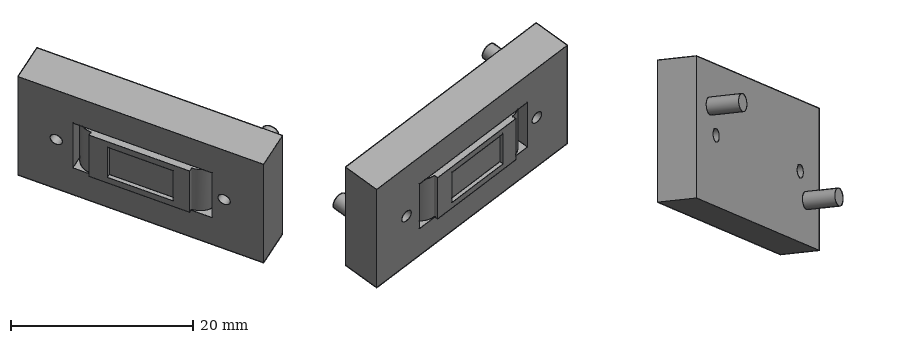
import cadquery as cq
plate_length = 30.0
plate_height = 16.0
plate_depth = 4.8

hole_diameter = 1.5
hole_spacing = 20.5
hole_centre_x = -0.05

pin_diameter = 2.0
pin_length = 4.0
pin_centres = [(-11.85, -3.0), (11.6, 3.0)]

rocker_length = 16.75
rocker_height = 6.7
rocker_centre_x = 0.12
shoulder_radius = 2.25
shoulder_rise = 0.1
key_length = 12.3
key_rise = 0.6
root_fillet_diameter = 0.08

recess_length = 8.05
recess_height = 4.9
recess_depth = 0.48
recess_centre_x = 0.25

pocket_length = 16.98
pocket_height = 7.25
pocket_depth = 3.0
pocket_centre_x = 0.2


def block(length, height, centre_x, y_front, y_back):
    """Box between two Y planes, centred on Z = 0."""
    return cq.Workplane("XY").box(length, y_back - y_front, height).translate(
        (centre_x, (y_front + y_back) / 2, 0)
    )


def rod(diameter, centre_x, centre_z, y_start, length):
    """Cylinder that runs along +Y."""
    start = cq.Vector(centre_x, y_start, centre_z)
    return cq.Workplane(cq.Solid.makeCylinder(diameter / 2, length, start, cq.Vector(0, 1, 0)))


def make_housing():
    """Plate with its front face at Y = 0, a rocker pocket, two holes and rear pins."""
    housing = block(plate_length, plate_height, 0, 0, plate_depth)
    housing = housing.cut(block(pocket_length, pocket_height, pocket_centre_x, 0, pocket_depth))
    for side in (-1, 1):
        hole_x = hole_centre_x + side * hole_spacing / 2
        housing = housing.cut(rod(hole_diameter, hole_x, 0, 0, plate_depth))
    for pin_x, pin_z in pin_centres:
        housing = housing.union(rod(pin_diameter, pin_x, pin_z, plate_depth, pin_length))
    return housing


def make_rocker():
    """Round-shouldered body on the pocket floor, with a raised key and a shallow recess."""
    body = block(rocker_length, rocker_height, rocker_centre_x, -shoulder_rise, pocket_depth)
    body = body.faces("<Y").edges("|Z").fillet(shoulder_radius)
    key = block(key_length, rocker_height, rocker_centre_x, -key_rise, pocket_depth)
    recess = block(recess_length, recess_height, recess_centre_x, -key_rise, recess_depth - key_rise)
    keyed_body = body.union(key)
    roots = cq.selectors.BoxSelector(
        (-plate_length, -key_rise / 2, -rocker_height), (plate_length, 0, rocker_height)
    )
    keyed_body = keyed_body.edges("|Z").edges(roots).fillet(root_fillet_diameter / 2)
    return keyed_body.cut(recess)


housing = make_housing()
rocker = make_rocker()

result = cq.Compound.makeCompound([housing.val(), rocker.val()])